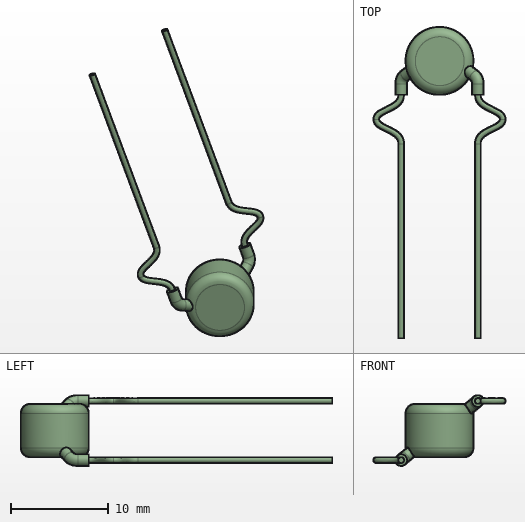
import cadquery as cq
import math


overall_width = 13.6
overall_length = 32.0
overall_height = 7.3

disc_diameter = 7.0
disc_height = 5.5
disc_edge_radius = 1.0

lead_diameter = 0.6
lead_offset_x = 3.95
kink_half_length = 2.5
kink_root_handle = 1.47
kink_peak_handle = 1.02

sleeve_diameter = 1.2
sleeve_straight = 1.15
sleeve_bend_radius = 1.0
sleeve_bend_angle = 60.0
sleeve_tilt = 40.0
sleeve_root = 1.6

side_turns = (0, 180)

disc_radius = disc_diameter / 2
lead_z = (overall_height - sleeve_diameter) / 2
mouth_y = -disc_radius
kink_peak_x = (overall_width - lead_diameter) / 2
kink_peak_y = mouth_y - kink_half_length
kink_end_y = kink_peak_y - kink_half_length
lead_tip_y = disc_radius - overall_length
bend_start_y = mouth_y + sleeve_straight

inward = cq.Vector(-math.cos(math.radians(sleeve_tilt)), 0, -math.sin(math.radians(sleeve_tilt)))


def sleeve_path():
    """Edges of the sleeve centreline, from the mouth to the root inside the disc."""

    def bend_point(angle):
        turn = math.radians(angle)
        along_y = cq.Vector(0, sleeve_bend_radius * math.sin(turn), 0)
        return bend_start + along_y + inward * (sleeve_bend_radius * (1 - math.cos(turn)))

    mouth = cq.Vector(lead_offset_x, mouth_y, lead_z)
    bend_start = cq.Vector(lead_offset_x, bend_start_y, lead_z)
    bend_end = bend_point(sleeve_bend_angle)
    final_turn = math.radians(sleeve_bend_angle)
    root_direction = cq.Vector(0, math.cos(final_turn), 0) + inward * math.sin(final_turn)
    return [
        cq.Edge.makeLine(mouth, bend_start),
        cq.Edge.makeThreePointArc(bend_start, bend_point(sleeve_bend_angle / 2), bend_end),
        cq.Edge.makeLine(bend_end, bend_end + root_direction * sleeve_root),
    ]


def lead_path():
    """Edges of the lead centreline, from the tip through the kink to the sleeve root."""

    def kink_half(root_y, toward_peak):
        """Half of the kink, from the lead line to the peak; toward_peak is the Y sign of that run."""
        return cq.Edge.makeBezier([
            cq.Vector(lead_offset_x, root_y, lead_z),
            cq.Vector(lead_offset_x, root_y + toward_peak * kink_root_handle, lead_z),
            cq.Vector(kink_peak_x, kink_peak_y - toward_peak * kink_peak_handle, lead_z),
            cq.Vector(kink_peak_x, kink_peak_y, lead_z),
        ])

    tip = cq.Vector(lead_offset_x, lead_tip_y, lead_z)
    kink_end = cq.Vector(lead_offset_x, kink_end_y, lead_z)
    return [
        cq.Edge.makeLine(tip, kink_end),
        kink_half(kink_end_y, 1),
        kink_half(mouth_y, -1),
        *sleeve_path(),
    ]


def round_bar(path_edges, diameter):
    """Round bar swept along a centreline that starts in the +Y direction."""
    path = cq.Wire.assembleEdges(path_edges)
    section = cq.Plane(origin=path_edges[0].startPoint(), xDir=(1, 0, 0), normal=(0, 1, 0))
    return cq.Workplane(section).circle(diameter / 2).sweep(cq.Workplane(path))


def on_side(bar, turn):
    """Copy of a bar turned about the Y axis to its own side of the disc."""
    return bar.rotate((0, 0, 0), (0, 1, 0), turn)


def make_lead(turn):
    return on_side(round_bar(lead_path(), lead_diameter), turn)


def make_coating(leads):
    """Rounded disc with its two sleeves, bored to take the leads."""
    coating = cq.Workplane("XY").cylinder(disc_height, disc_radius)
    coating = coating.faces("<Z or >Z").edges().fillet(disc_edge_radius)
    for turn in side_turns:
        coating = coating.union(on_side(round_bar(sleeve_path(), sleeve_diameter), turn))
    for lead in leads:
        coating = coating.cut(lead)
    return coating


leads = [make_lead(turn) for turn in side_turns]
coating = make_coating(leads)

result = cq.Compound.makeCompound([coating.val(), *[lead.val() for lead in leads]])